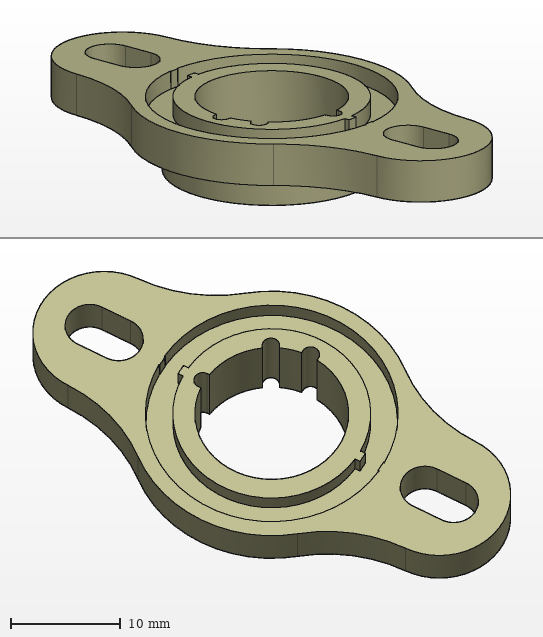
import cadquery as cq
import math

flange_thickness = 4.0
flange_length = 48.0
middle_radius = 13.0
ear_radius = 6.5
blend_radius = 15.0
ear_offset = flange_length / 2 - ear_radius

slot_width = 4.5
slot_length = 7.5

hub_diameter = 20.0
hub_height = 3.0
total_height = hub_height + flange_thickness
bore_radius = 7.0

recess_radius = 11.5
recess_depth = 1.7
recess_draft = 2.0
ring_radius = 9.0
floor_height = total_height - recess_depth

tab_width = 1.0
ring_tab_projection = 0.5
wall_tab_projection = 0.1
ring_tab_span = 2 * (ring_radius + ring_tab_projection)
wall_tab_gap = 2 * (recess_radius - wall_tab_projection)

groove_radius = 0.8
groove_offset = 7.2
keyway_angles = (0, -90)
round_groove_angle = -60


def point_towards(start, target, distance):
    """Point at a given distance from start on the line to target."""
    dx = target[0] - start[0]
    dy = target[1] - start[1]
    scale = distance / math.hypot(dx, dy)
    return (start[0] + dx * scale, start[1] + dy * scale)


def make_flange():
    """Plate whose concave blends are tangent to the middle circle and the ears."""
    middle_to_blend = middle_radius + blend_radius
    ear_to_blend = ear_radius + blend_radius
    blend_x = (middle_to_blend**2 - ear_to_blend**2 + ear_offset**2) / (2 * ear_offset)
    blend_y = math.sqrt(middle_to_blend**2 - blend_x**2)
    blend_center = (blend_x, blend_y)

    middle_x, middle_y = point_towards((0, 0), blend_center, middle_radius)
    ear_x, ear_y = point_towards((ear_offset, 0), blend_center, ear_radius)
    chord_middle = ((middle_x + ear_x) / 2, (middle_y + ear_y) / 2)
    waist_x, waist_y = point_towards(blend_center, chord_middle, blend_radius)
    end_x = flange_length / 2

    return (
        cq.Workplane("XY")
        .workplane(offset=hub_height)
        .moveTo(-middle_x, middle_y)
        .threePointArc((0, middle_radius), (middle_x, middle_y))
        .threePointArc((waist_x, waist_y), (ear_x, ear_y))
        .threePointArc((end_x, 0), (ear_x, -ear_y))
        .threePointArc((waist_x, -waist_y), (middle_x, -middle_y))
        .threePointArc((0, -middle_radius), (-middle_x, -middle_y))
        .threePointArc((-waist_x, -waist_y), (-ear_x, -ear_y))
        .threePointArc((-end_x, 0), (-ear_x, ear_y))
        .threePointArc((-waist_x, waist_y), (-middle_x, middle_y))
        .close()
        .extrude(flange_thickness)
    )


def make_hub():
    return cq.Workplane("XY").circle(hub_diameter / 2).extrude(floor_height)


def make_recess():
    """Annular pocket with a drafted outer wall; the inner ring and the tabs stay standing."""
    floor_radius = recess_radius - recess_depth * math.tan(math.radians(recess_draft))
    pocket = cq.Workplane(
        cq.Solid.makeCone(floor_radius, recess_radius, recess_depth, pnt=cq.Vector(0, 0, floor_height))
    )
    floor = cq.Workplane("XY").workplane(offset=floor_height)
    ring = floor.circle(ring_radius).extrude(recess_depth)
    ring_tabs = floor.rect(ring_tab_span, tab_width).extrude(recess_depth)
    wall_tabs = (
        floor.rect(2 * recess_radius, tab_width)
        .extrude(recess_depth)
        .cut(floor.rect(wall_tab_gap, tab_width).extrude(recess_depth))
    )
    return pocket.cut(ring).cut(ring_tabs).cut(wall_tabs)


def make_slots():
    return (
        cq.Workplane("XY")
        .pushPoints([(-ear_offset, 0), (ear_offset, 0)])
        .slot2D(slot_length, slot_width)
        .extrude(total_height)
    )


def make_bore():
    """Through bore with its wall grooves."""
    bore = cq.Workplane("XY").circle(bore_radius).extrude(total_height)
    keyway = (
        cq.Workplane("XY")
        .center(groove_offset / 2, 0)
        .slot2D(groove_offset + 2 * groove_radius, 2 * groove_radius)
        .extrude(total_height)
    )
    for angle in keyway_angles:
        bore = bore.union(keyway.rotate((0, 0, 0), (0, 0, 1), angle))
    round_groove = (
        cq.Workplane("XY")
        .center(groove_offset, 0)
        .circle(groove_radius)
        .extrude(total_height)
        .rotate((0, 0, 0), (0, 0, 1), round_groove_angle)
    )
    return bore.union(round_groove)


result = make_flange().union(make_hub()).cut(make_recess()).cut(make_slots()).cut(make_bore())